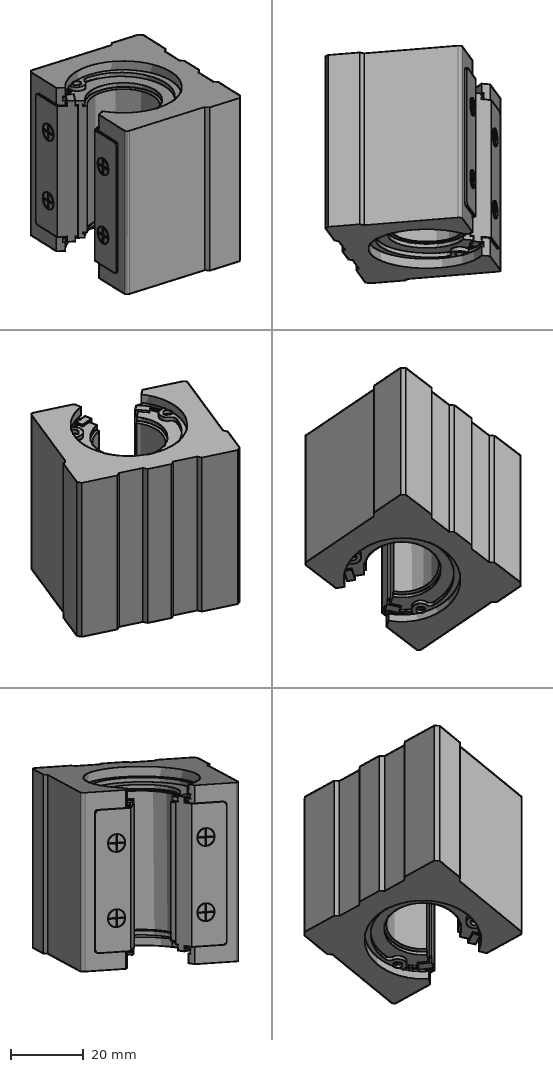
import cadquery as cq
import math


HEIGHT = 50.0
TOP_WIDTH = 48.0
BODY_WIDTH = 46.0
MOUNT_FACE_Y = 23.0
BASE_FACE_Y = -15.4
EDGE_CHAMFER = 1.0
BASE_FILLET = 1.0
LEFT_STEP_DEPTH = 9.9
RIGHT_STEP_DEPTH = 11.0
RELIEF_INNER_X = 3.5
RELIEF_OUTER_X = 12.5
RELIEF_DEPTH = 1.0
BORE_RADIUS = 16.0

MOUTH_HALF_ANGLE = math.radians(30.0)
HOUSING_MOUTH_OFFSET = 1.0
BEARING_MOUTH_OFFSET = 0.6
MOUTH_REACH = 40.0

BEARING_LENGTH = 42.0
SHAFT_RADIUS = 10.0
END_BORE_RADIUS = 10.6
END_BORE_DEPTH = 1.2
UNDERCUT_RADIUS = 11.2
UNDERCUT_WIDTH = 0.45
RIM_CHAMFER = 0.75

RING_THICKNESS = 1.2
GROOVE_WIDTH = 1.3
RING_OUTER_RADIUS = 16.65
RING_INNER_RADIUS = 14.85
RING_INNER_SHIFT = 0.85
LUG_RADIUS = 2.5
LUG_HOLE_DIAMETER = 2.5
LUG_CENTER = (13.75, -5.95)
LUG_BLEND_RADIUS = 1.5

PLATE_THICKNESS = 0.6
PLATE_LENGTH = 40.0
PLATE_OUTER_X = 19.1
PLATE_CORNER_RADIUS = 1.0
PLATE_MOUTH_OFFSET = -0.3
PLATE_TIP_REACH = 12.5
EAR_NEAR_REACH = 13.3
EAR_FAR_REACH = 15.55
FLAP_LENGTH = 4.0

SCREW_X = 13.0
SCREW_Z = 10.5
HEAD_DIAMETER = 5.0
HEAD_HEIGHT = 0.2
CROSS_LENGTH = 4.2
CROSS_WIDTH = 0.2

BEARING_END_Z = BEARING_LENGTH / 2
GROOVE_TOP_Z = BEARING_END_Z + GROOVE_WIDTH
PLATE_END_Z = PLATE_LENGTH / 2


def mouth_point(offset, reach):
    """Point on the +X mouth plane: `offset` out from the radial plane, `reach` along it."""
    x = offset * math.cos(MOUTH_HALF_ANGLE) + reach * math.sin(MOUTH_HALF_ANGLE)
    y = offset * math.sin(MOUTH_HALF_ANGLE) - reach * math.cos(MOUTH_HALF_ANGLE)
    return (x, y)


def prism(points, z_low, z_high):
    """Polygon in XY extruded between two heights."""
    return cq.Workplane("XY", origin=(0, 0, z_low)).polyline(points).close().extrude(z_high - z_low)


def disc(radius, z_low, z_high, center=(0, 0)):
    return cq.Workplane("XY", origin=(0, 0, z_low)).center(*center).circle(radius).extrude(z_high - z_low)


def mouth_wedge(offset):
    """Full-height wedge between the two mouth planes."""
    apex = (0, offset / math.sin(MOUTH_HALF_ANGLE))
    right_x, right_y = mouth_point(offset, MOUTH_REACH)
    return prism([apex, (right_x, right_y), (-right_x, right_y)], -HEIGHT / 2, HEIGHT / 2)


def mirrored_in_z(shape):
    return shape.mirror("XY")


def make_housing():
    top_x = TOP_WIDTH / 2
    body_x = BODY_WIDTH / 2
    step = top_x - body_x
    left_y = MOUNT_FACE_Y - LEFT_STEP_DEPTH
    right_y = MOUNT_FACE_Y - RIGHT_STEP_DEPTH
    outline = [
        (-body_x, BASE_FACE_Y),
        (body_x, BASE_FACE_Y),
        (body_x, right_y - step),
        (top_x, right_y),
        (top_x, MOUNT_FACE_Y - EDGE_CHAMFER),
        (top_x - EDGE_CHAMFER, MOUNT_FACE_Y),
        (EDGE_CHAMFER - top_x, MOUNT_FACE_Y),
        (-top_x, MOUNT_FACE_Y - EDGE_CHAMFER),
        (-top_x, left_y),
        (-body_x, left_y - step),
    ]
    block = prism(outline, -HEIGHT / 2, HEIGHT / 2)
    block = block.edges("|Z").edges("<Y").fillet(BASE_FILLET)

    floor_y = MOUNT_FACE_Y - RELIEF_DEPTH
    for side in (-1, 1):
        relief = [
            (side * RELIEF_INNER_X, MOUNT_FACE_Y),
            (side * (RELIEF_INNER_X + RELIEF_DEPTH), floor_y),
            (side * (RELIEF_OUTER_X - RELIEF_DEPTH), floor_y),
            (side * RELIEF_OUTER_X, MOUNT_FACE_Y),
        ]
        block = block.cut(prism(relief, -HEIGHT / 2, HEIGHT / 2))

    block = block.cut(disc(BORE_RADIUS, -HEIGHT / 2, HEIGHT / 2))
    ring_groove = disc(RING_OUTER_RADIUS, BEARING_END_Z, GROOVE_TOP_Z)
    block = block.cut(ring_groove).cut(mirrored_in_z(ring_groove))
    return block.cut(mouth_wedge(HOUSING_MOUTH_OFFSET))


def make_bearing():
    sleeve = disc(BORE_RADIUS, -BEARING_END_Z, BEARING_END_Z)
    sleeve = sleeve.faces("<Z or >Z").edges().chamfer(RIM_CHAMFER)
    sleeve = sleeve.cut(disc(SHAFT_RADIUS, -BEARING_END_Z, BEARING_END_Z))

    lip_z = BEARING_END_Z - END_BORE_DEPTH
    undercut_floor_z = lip_z - UNDERCUT_WIDTH
    end_bore = disc(END_BORE_RADIUS, lip_z, BEARING_END_Z)
    end_bore = end_bore.union(disc(UNDERCUT_RADIUS, undercut_floor_z, lip_z))
    sleeve = sleeve.cut(end_bore).cut(mirrored_in_z(end_bore))
    return sleeve.cut(mouth_wedge(BEARING_MOUTH_OFFSET))


def make_snap_ring():
    """Ring at the +Z end, open toward the mouth, with a pierced lug at each end."""
    z_high = GROOVE_TOP_Z
    z_low = z_high - RING_THICKNESS
    lug_x, lug_y = LUG_CENTER
    gap_y = -MOUTH_REACH
    gap_x = lug_x * gap_y / lug_y
    gap = [(0, 0), (gap_x, gap_y), (-gap_x, gap_y)]
    outer = disc(RING_OUTER_RADIUS, z_low, z_high)
    inner = disc(RING_INNER_RADIUS, z_low, z_high, (0, -RING_INNER_SHIFT))
    ring = outer.cut(inner).cut(prism(gap, z_low, z_high))
    for side in (-1, 1):
        lug = disc(LUG_RADIUS, z_low, z_high, (side * lug_x, lug_y))
        ring = ring.union(lug.intersect(outer))
    blend_box = cq.selectors.BoxSelector(
        (-RING_INNER_RADIUS, lug_y, z_low),
        (RING_INNER_RADIUS, lug_y + LUG_RADIUS, z_high),
    )
    ring = ring.edges("|Z").edges(blend_box).fillet(LUG_BLEND_RADIUS)
    holes = cq.Workplane("XY", origin=(0, 0, z_low)).pushPoints([(-lug_x, lug_y), (lug_x, lug_y)])
    holes = holes.circle(LUG_HOLE_DIAMETER / 2).extrude(RING_THICKNESS)
    return ring.cut(holes)


def make_ear():
    """Tab at the +Z end of the bent leg, folded over the end face of the bearing."""
    outer = PLATE_MOUTH_OFFSET
    inner = outer + PLATE_THICKNESS
    flap_end = outer + FLAP_LENGTH
    flap_top_z = BEARING_END_Z + PLATE_THICKNESS

    def strip(far_offset, z_low, z_high):
        corners = [
            mouth_point(outer, EAR_NEAR_REACH),
            mouth_point(far_offset, EAR_NEAR_REACH),
            mouth_point(far_offset, EAR_FAR_REACH),
            mouth_point(outer, EAR_FAR_REACH),
        ]
        return prism(corners, z_low, z_high)

    riser = strip(inner, PLATE_END_Z, flap_top_z)
    flap = strip(flap_end, BEARING_END_Z, flap_top_z)
    return riser.union(flap.intersect(disc(BORE_RADIUS, BEARING_END_Z, flap_top_z)))


def make_screw_head(z):
    """Cross-slotted head standing on the outer face of the plate."""
    face_y = BASE_FACE_Y - PLATE_THICKNESS
    base = cq.Workplane("XZ", origin=(SCREW_X, face_y, z))
    head = base.circle(HEAD_DIAMETER / 2).extrude(HEAD_HEIGHT)
    cross = base.rect(CROSS_LENGTH, CROSS_WIDTH).extrude(HEAD_HEIGHT)
    cross = cross.union(base.rect(CROSS_WIDTH, CROSS_LENGTH).extrude(HEAD_HEIGHT))
    return head.cut(cross)


def make_side_plate():
    """Sheet on the +X side of the mouth: flat on the base face, then bent along the mouth."""
    outer_y = BASE_FACE_Y - PLATE_THICKNESS
    outer = PLATE_MOUTH_OFFSET
    inner = outer + PLATE_THICKNESS

    def reach_at(offset, y):
        return (offset * math.sin(MOUTH_HALF_ANGLE) - y) / math.cos(MOUTH_HALF_ANGLE)

    section = [
        (PLATE_OUTER_X, BASE_FACE_Y),
        mouth_point(inner, reach_at(inner, BASE_FACE_Y)),
        mouth_point(inner, PLATE_TIP_REACH),
        mouth_point(outer, PLATE_TIP_REACH),
        mouth_point(outer, reach_at(outer, outer_y)),
        (PLATE_OUTER_X, outer_y),
    ]
    plate = prism(section, -PLATE_END_Z, PLATE_END_Z)
    plate = plate.faces(">X").edges("|Y").fillet(PLATE_CORNER_RADIUS)
    ear = make_ear()
    plate = plate.union(ear).union(mirrored_in_z(ear))
    for z in (-SCREW_Z, SCREW_Z):
        plate = plate.union(make_screw_head(z))
    return plate


housing = make_housing()
bearing = make_bearing()
top_ring = make_snap_ring()
snap_rings = [top_ring, mirrored_in_z(top_ring)]
right_plate = make_side_plate()
side_plates = [right_plate, right_plate.mirror("YZ")]

bodies = [housing, bearing, *snap_rings, *side_plates]
result = cq.Compound.makeCompound([body.solids().val() for body in bodies])